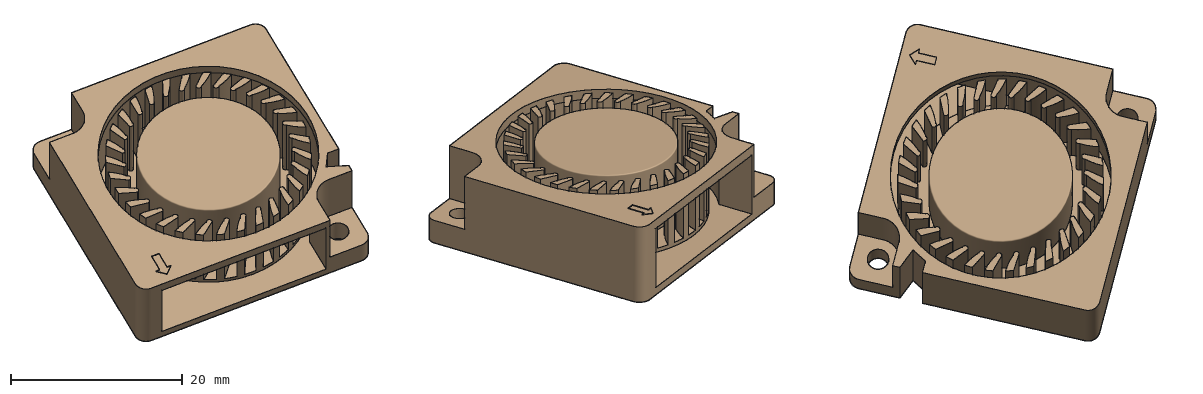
import cadquery as cq
import math


side = 30.0
height = 10.0
corner_radius = 1.4
floor_thickness = 1.0
lip_thickness = 1.2
bore_radius = 12.87
chamber_radius = 13.2
fan_y = 1.0

outlet_top_y = 9.0
outlet_bottom_y = fan_y - chamber_radius

hole_offset = 12.0
hole_diameter = 2.5
ear_thickness = 3.0
ear_radius = 2.5
ear_edge = hole_offset - ear_radius

notch_left_x = 5.95
notch_left_y = 13.53
notch_tip_x = 7.68
notch_tip_y = 12.5
notch_right_x = 8.65

arrow_tail_x = 10.77
arrow_neck_x = 12.95
arrow_tip_x = 13.9
arrow_y = -11.05
arrow_half_shaft = 0.48
arrow_half_head = 1.0
arrow_depth = 0.1

hub_radius = 8.37
hub_edge_radius = 0.15
rotor_radius = 12.0
disc_thickness = 0.5
disc_top = floor_thickness + disc_thickness
blade_count = 31
blade_pitch = 360 / blade_count

blade_front_outer = (rotor_radius, 2.0)
blade_front_middle = (11.07, 4.0)
blade_front_inner = (10.02, 7.9)
blade_tip = (9.72, 10.0)
blade_back_inner = (10.02, 11.8)
blade_back_middle = (11.1, 8.7)
blade_back_outer = (rotor_radius, 6.6)

cavity_height = height - lip_thickness - floor_thickness


def cylinder(radius, bottom, length):
    return cq.Workplane("XY", origin=(0, fan_y, bottom)).circle(radius).extrude(length)


def make_block():
    block = cq.Workplane("XY").rect(side, side).extrude(height)
    return block.edges("|Z").fillet(corner_radius)


def make_cavity():
    bore = cylinder(bore_radius, floor_thickness, height - floor_thickness)
    chamber = cylinder(chamber_radius, floor_thickness, cavity_height)
    outlet = cq.Workplane("XY").box(
        side / 2, outlet_top_y - outlet_bottom_y, cavity_height, centered=False
    )
    outlet = outlet.translate((0, outlet_bottom_y, floor_thickness))
    return bore.union(chamber).union(outlet)


def make_ear_pocket():
    """Space above the ear in the +X +Y corner, rounded around the hole axis."""
    size = side / 2 - ear_edge
    pocket = cq.Workplane("XY").box(size, size, height - ear_thickness, centered=False)
    pocket = pocket.edges("|Z and <X and <Y").fillet(ear_radius)
    return pocket.translate((ear_edge, ear_edge, ear_thickness))


def make_notch():
    outline = [
        (notch_left_x, side / 2),
        (notch_left_x, notch_left_y),
        (notch_tip_x, notch_tip_y),
        (notch_right_x, side / 2),
    ]
    return cq.Workplane("XY").polyline(outline).close().extrude(height)


def make_arrow():
    upper_half = [
        (arrow_tail_x, arrow_half_shaft),
        (arrow_neck_x, arrow_half_shaft),
        (arrow_neck_x, arrow_half_head),
        (arrow_tip_x, 0),
    ]
    lower_half = [(x, -y) for x, y in reversed(upper_half[:-1])]
    plane = cq.Workplane("XY", origin=(0, arrow_y, height - arrow_depth))
    return plane.polyline(upper_half + lower_half).close().extrude(arrow_depth)


def polar_point(polar):
    radius, angle = polar
    return (radius * math.cos(math.radians(angle)), radius * math.sin(math.radians(angle)))


def make_blade():
    """First blade, from the rotor disc up to the top face."""
    rim_middle = (rotor_radius, (blade_front_outer[1] + blade_back_outer[1]) / 2)
    return (
        cq.Workplane("XY", origin=(0, fan_y, disc_top))
        .moveTo(*polar_point(blade_front_outer))
        .threePointArc(polar_point(blade_front_middle), polar_point(blade_front_inner))
        .threePointArc(polar_point(blade_tip), polar_point(blade_back_inner))
        .threePointArc(polar_point(blade_back_middle), polar_point(blade_back_outer))
        .threePointArc(polar_point(rim_middle), polar_point(blade_front_outer))
        .close()
        .extrude(height - disc_top)
    )


def make_rotor():
    hub = cylinder(hub_radius, floor_thickness, height - floor_thickness)
    hub = hub.faces(">Z").edges().fillet(hub_edge_radius)
    rotor = hub.union(cylinder(rotor_radius, floor_thickness, disc_thickness))
    blade = make_blade()
    for index in range(blade_count):
        turned = blade.rotate((0, fan_y, 0), (0, fan_y, 1), index * blade_pitch)
        rotor = rotor.union(turned, clean=False)
    return rotor


ear_pocket = make_ear_pocket()
opposite_ear_pocket = ear_pocket.rotate((0, 0, 0), (0, 0, 1), 180)
ear_holes = (
    cq.Workplane("XY")
    .pushPoints([(hole_offset, hole_offset), (-hole_offset, -hole_offset)])
    .circle(hole_diameter / 2)
    .extrude(height)
)

housing = make_block().cut(make_cavity())
for cutter in (ear_pocket, opposite_ear_pocket, ear_holes, make_notch(), make_arrow()):
    housing = housing.cut(cutter)

result = housing.union(make_rotor(), clean=False)